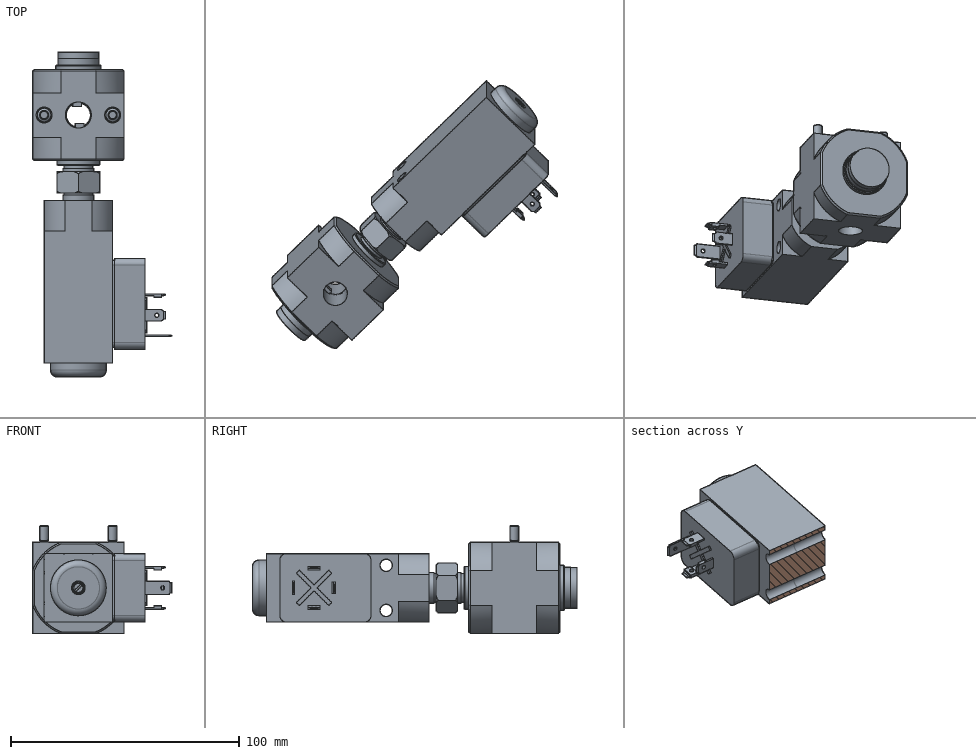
import cadquery as cq
import math


BLOCK_SIZE = 40.0
BLOCK_CORNER_DIA = 42.9
BLOCK_CORNER_LENGTH = 10.3
BLOCK_CHAMFER = 0.7
UPPER_BORE_DIA = 11.4
LOWER_BORE_DIA = 10.5
BORE_LEDGE_WIDTH = 4.0
BORE_LEDGE_OFFSET = 0.5
BORE_LEDGE_GAP = 7.3
BORE_LEDGE_THICKNESS = 4.0

STUD_SPACING = 30.0
STUD_HEIGHT = 7.3
STUD_DIA = 4.0
STUD_TIP_DIA = 3.3
STUD_NECK_DIA = 2.8
STUD_NECK_HEIGHT = 0.9
STUD_CONE_TOP = 0.4
STUD_FOOT_DIA = 6.0
STUD_FOOT_DEPTH = 2.0
STUD_SEAT_MOUTH_DIA = 7.0

PLUG_FLANGE_DIA = 20.0
PLUG_FLANGE_LENGTH = 2.0
PLUG_BODY_DIA = 18.1
PLUG_BODY_LENGTH = 2.7
PLUG_TIP_DIA = 18.0
PLUG_TIP_LENGTH = 2.8
FLANGE_CHAMFER = 0.4

COLLAR_DIA = 19.0
COLLAR_LENGTH = 2.1
THREAD_DIA = 13.5
GROOVE_DIA = 12.7
REAR_GROOVE_LENGTH = 1.3
REAR_THREAD_LENGTH = 1.4
HEX_SIDES = 6
HEX_WIDTH = 19.0
HEX_LENGTH = 9.4
HEX_CHAMFER = 0.9
FRONT_GROOVE_LENGTH = 0.9
FRONT_THREAD_LENGTH = 2.3

COIL_WIDTH = 30.0
COIL_LENGTH = 71.4
COIL_CORNER_DIA = 32.3
COIL_CORNER_LENGTH = 13.4
COIL_HOLE_DIA = 5.3
COIL_HOLE_SPACING = 19.8
COIL_HOLE_SETBACK = 18.8

CONNECTOR_LENGTH = 40.0
CONNECTOR_DEPTH = 13.4
CONNECTOR_RADIUS = 3.0
CONNECTOR_SETBACK = 45.5
NECK_DEPTH = 0.9
NECK_INSET = 0.9

CONTACT_SETBACK = 50.5
CONTACT_RADIUS = 9.0
BLADE_THICKNESS = 0.9
BLADE_HOLE_DIA = 1.7
BLADE_END_THICKNESS = 0.3
BLADE_BEVEL_LENGTH = 0.9
PIN_BLADE_WIDTH = 5.1
PIN_BLADE_TIP_WIDTH = 3.4
PIN_BLADE_LENGTH = 9.0
PIN_BLADE_SHOULDER = 7.3
PIN_BLADE_HOLE = 5.1
PAD_LENGTH = 3.4
PAD_THICKNESS = 0.7
EARTH_BLADE_WIDTH = 6.0
EARTH_BLADE_TIP_WIDTH = 4.5
EARTH_BLADE_LENGTH = 11.7
EARTH_BLADE_SHOULDER = 10.5
EARTH_BLADE_HOLE = 7.7
RIB_LENGTH = 20.1
RIB_WIDTH = 1.9
RIB_HEIGHT = 0.7

KNOB_DIA = 24.5
KNOB_LENGTH = 6.1
KNOB_RADIUS = 3.0
KNOB_HOLE_MOUTH_DIA = 6.0
KNOB_HOLE_DIA = 5.0
KNOB_HOLE_DEPTH = 1.4
KNOB_PIN_DIA = 4.0
SLOT_WIDTH = 0.9
SLOT_DEPTH = 0.7
SLOT_ANGLE = 45

BLOCK_HALF = BLOCK_SIZE / 2
STUD_FLARE_DEPTH = (STUD_SEAT_MOUTH_DIA - STUD_FOOT_DIA) / 2
COUPLING_LENGTH = (COLLAR_LENGTH + REAR_GROOVE_LENGTH + REAR_THREAD_LENGTH
                   + HEX_LENGTH + FRONT_GROOVE_LENGTH + FRONT_THREAD_LENGTH)
COIL_REAR = -BLOCK_HALF - COUPLING_LENGTH
COIL_FRONT = COIL_REAR - COIL_LENGTH
CONNECTOR_FACE = COIL_WIDTH / 2 + NECK_DEPTH + CONNECTOR_DEPTH
CONTACT_Y = COIL_REAR - CONTACT_SETBACK


def section(y):
    """Workplane across the main axis at y; extrusions from it run toward -Y."""
    return cq.Workplane("XZ", origin=(0, y, 0))


def cylinder(y, diameter, length):
    return section(y).circle(diameter / 2).extrude(length)


def corner_cutter(y, width, diameter, length):
    """What lies outside a round of the given diameter over a length from y toward -Y."""
    square = section(y).rect(width, width).extrude(length)
    return square.cut(cylinder(y, diameter, length))


def make_bore():
    """Vertical through bore, wider above its middle, less a ledge on its +Y and -Y walls."""
    middle = cq.Workplane("XY")
    bore = (
        middle.circle(UPPER_BORE_DIA / 2).extrude(BLOCK_HALF)
        .union(middle.circle(LOWER_BORE_DIA / 2).extrude(-BLOCK_HALF))
    )
    for side in (-1, 1):
        ledge = (
            middle
            .box(BORE_LEDGE_WIDTH, UPPER_BORE_DIA, BORE_LEDGE_THICKNESS)
            .translate((-side * BORE_LEDGE_OFFSET, side * (BORE_LEDGE_GAP + UPPER_BORE_DIA) / 2, 0))
        )
        bore = bore.cut(ledge)
    return bore


def make_block():
    block = cq.Workplane("XY").box(BLOCK_SIZE, BLOCK_SIZE, BLOCK_SIZE)
    for rear in (BLOCK_HALF, BLOCK_CORNER_LENGTH - BLOCK_HALF):
        block = block.cut(corner_cutter(rear, BLOCK_SIZE, BLOCK_CORNER_DIA, BLOCK_CORNER_LENGTH))
    block = block.faces("<Y or >Y").chamfer(BLOCK_CHAMFER)
    for side in (-1, 1):
        block = block.cut(make_stud_seat().translate((side * STUD_SPACING / 2, 0, BLOCK_HALF)))
    return block.cut(make_bore())


def make_stud_seat():
    """Cutter for a stud's foot with a flared mouth; the top of the block is at z = 0."""
    seat = cq.Workplane("XY").circle(STUD_FOOT_DIA / 2).extrude(-STUD_FOOT_DEPTH)
    flare = cq.Solid.makeCone(STUD_SEAT_MOUTH_DIA / 2, STUD_FOOT_DIA / 2, STUD_FLARE_DEPTH,
                              dir=(0, 0, -1))
    return seat.union(cq.Workplane(flare))


def make_stud(x):
    """Stud with a coned foot filling its seat up to the flare; turned about the Z axis."""
    tip_chamfer = (STUD_DIA - STUD_TIP_DIA) / 2
    return (
        cq.Workplane("XZ")
        .moveTo(0, -STUD_FOOT_DEPTH)
        .lineTo(STUD_FOOT_DIA / 2, -STUD_FOOT_DEPTH)
        .lineTo(STUD_FOOT_DIA / 2, -STUD_FLARE_DEPTH)
        .lineTo(STUD_NECK_DIA / 2, STUD_CONE_TOP)
        .lineTo(STUD_NECK_DIA / 2, STUD_NECK_HEIGHT)
        .lineTo(STUD_DIA / 2, STUD_NECK_HEIGHT)
        .lineTo(STUD_DIA / 2, STUD_HEIGHT - tip_chamfer)
        .lineTo(STUD_TIP_DIA / 2, STUD_HEIGHT)
        .lineTo(0, STUD_HEIGHT)
        .close()
        .revolve(360, (0, 0, 0), (0, 1, 0))
        .translate((x, 0, BLOCK_HALF))
    )


def make_plug():
    flange_end = BLOCK_HALF + PLUG_FLANGE_LENGTH
    body_end = flange_end + PLUG_BODY_LENGTH
    flange = cylinder(flange_end, PLUG_FLANGE_DIA, PLUG_FLANGE_LENGTH)
    flange = flange.faces(">Y").chamfer(FLANGE_CHAMFER)
    body = cylinder(body_end, PLUG_BODY_DIA, PLUG_BODY_LENGTH)
    tip = cylinder(body_end + PLUG_TIP_LENGTH, PLUG_TIP_DIA, PLUG_TIP_LENGTH)
    return flange.union(body).union(tip)


def make_hex(y):
    """Hexagon with corners at +Z and -Z, its corners turned down by a cone at both ends."""
    corner_dia = HEX_WIDTH / math.cos(math.pi / HEX_SIDES)
    hexagon = (
        section(y)
        .polygon(HEX_SIDES, corner_dia)
        .extrude(HEX_LENGTH)
        .rotate((0, 0, 0), (0, 1, 0), 90)
    )
    envelope = cylinder(y, corner_dia, HEX_LENGTH).faces("<Y or >Y").chamfer(HEX_CHAMFER)
    return hexagon.intersect(envelope)


def make_coupling():
    y = -BLOCK_HALF
    coupling = cylinder(y, COLLAR_DIA, COLLAR_LENGTH).faces("<Y").chamfer(FLANGE_CHAMFER)
    y -= COLLAR_LENGTH
    coupling = coupling.union(cylinder(y, GROOVE_DIA, REAR_GROOVE_LENGTH))
    y -= REAR_GROOVE_LENGTH
    coupling = coupling.union(cylinder(y, THREAD_DIA, REAR_THREAD_LENGTH))
    y -= REAR_THREAD_LENGTH
    coupling = coupling.union(make_hex(y))
    y -= HEX_LENGTH
    coupling = coupling.union(cylinder(y, GROOVE_DIA, FRONT_GROOVE_LENGTH))
    y -= FRONT_GROOVE_LENGTH
    return coupling.union(cylinder(y, THREAD_DIA, FRONT_THREAD_LENGTH))


def make_blade(width, tip_width, shoulder, length):
    """Flat contact blade along +X, in the XY plane, narrowed and then bevelled thin at the tip."""
    bevel_start = length - BLADE_BEVEL_LENGTH
    outline = [
        (0, -width / 2),
        (shoulder, -width / 2),
        (bevel_start, -tip_width / 2),
        (length, -tip_width / 2),
        (length, tip_width / 2),
        (bevel_start, tip_width / 2),
        (shoulder, width / 2),
        (0, width / 2),
    ]
    edge_profile = [
        (0, -BLADE_THICKNESS / 2),
        (bevel_start, -BLADE_THICKNESS / 2),
        (length, -BLADE_END_THICKNESS / 2),
        (length, BLADE_END_THICKNESS / 2),
        (bevel_start, BLADE_THICKNESS / 2),
        (0, BLADE_THICKNESS / 2),
    ]
    blank = cq.Workplane("XY").polyline(outline).close().extrude(BLADE_THICKNESS, both=True)
    thinned = cq.Workplane("XZ").polyline(edge_profile).close().extrude(width, both=True)
    return blank.intersect(thinned)


def blade_hole(distance):
    """Cutter for the hole through a blade and its pad, at a distance from the connector face."""
    return (
        cq.Workplane("XY", origin=(distance, 0, 0))
        .circle(BLADE_HOLE_DIA / 2)
        .extrude(BLADE_THICKNESS + PAD_THICKNESS, both=True)
    )


def make_pin_blade():
    """Blade with a thicker pad on its inner (-Z) side, just before the narrowed tip."""
    blade = make_blade(PIN_BLADE_WIDTH, PIN_BLADE_TIP_WIDTH, PIN_BLADE_SHOULDER, PIN_BLADE_LENGTH)
    pad_centre = PIN_BLADE_SHOULDER - PAD_LENGTH / 2
    pad = (
        cq.Workplane("XY")
        .box(PAD_LENGTH, PIN_BLADE_WIDTH, PAD_THICKNESS)
        .translate((pad_centre, 0, -(BLADE_THICKNESS + PAD_THICKNESS) / 2))
    )
    return blade.union(pad).cut(blade_hole(PIN_BLADE_HOLE))


def make_earth_blade():
    blade = make_blade(EARTH_BLADE_WIDTH, EARTH_BLADE_TIP_WIDTH,
                       EARTH_BLADE_SHOULDER, EARTH_BLADE_LENGTH)
    return blade.cut(blade_hole(EARTH_BLADE_HOLE))


def make_contacts():
    """Three pin blades and the earth blade around a raised cross; the +X face is at x = 0."""
    blades = {
        -90: make_pin_blade(),
        0: make_pin_blade(),
        90: make_earth_blade(),
        180: make_pin_blade(),
    }
    contacts = cq.Workplane("XY")
    for angle, blade in blades.items():
        placed = blade.translate((0, 0, CONTACT_RADIUS)).rotate((0, 0, 0), (1, 0, 0), angle)
        contacts = contacts.add(placed)
    for angle in (-45, 45):
        rib = cq.Workplane("YZ").rect(RIB_LENGTH, RIB_WIDTH).extrude(RIB_HEIGHT)
        contacts = contacts.add(rib.rotate((0, 0, 0), (1, 0, 0), angle))
    return contacts.combine()


def rounded_plate(x, length, height, depth, radius):
    return (
        cq.Workplane("YZ", origin=(x, COIL_REAR - CONNECTOR_SETBACK, 0))
        .rect(length, height)
        .extrude(depth)
        .edges("|X")
        .fillet(radius)
    )


def make_coil():
    """Coil housing with the connector moulded on its +X side."""
    coil = section(COIL_REAR).rect(COIL_WIDTH, COIL_WIDTH).extrude(COIL_LENGTH)
    coil = coil.cut(corner_cutter(COIL_REAR, COIL_WIDTH, COIL_CORNER_DIA, COIL_CORNER_LENGTH))
    holes = (
        cq.Workplane("YZ", origin=(0, COIL_REAR - COIL_HOLE_SETBACK, 0))
        .rarray(1.4, COIL_HOLE_SPACING, 1, 2)
        .circle(COIL_HOLE_DIA / 2)
        .extrude(COIL_WIDTH, both=True)
    )
    neck = rounded_plate(COIL_WIDTH / 2, CONNECTOR_LENGTH - 2 * NECK_INSET,
                         COIL_WIDTH - 2 * NECK_INSET, NECK_DEPTH, CONNECTOR_RADIUS - NECK_INSET)
    connector = rounded_plate(COIL_WIDTH / 2 + NECK_DEPTH, CONNECTOR_LENGTH, COIL_WIDTH,
                              CONNECTOR_DEPTH, CONNECTOR_RADIUS)
    contacts = make_contacts().translate((CONNECTOR_FACE, CONTACT_Y, 0))
    return coil.cut(holes).union(neck).union(connector).union(contacts)


def make_knob():
    """Rounded knob with a slotted pin standing in a recess in the middle of its front face."""
    knob = cylinder(COIL_FRONT, KNOB_DIA, KNOB_LENGTH).faces("<Y").edges().fillet(KNOB_RADIUS)
    face = COIL_FRONT - KNOB_LENGTH
    mouth = cq.Solid.makeCone(KNOB_HOLE_MOUTH_DIA / 2, KNOB_HOLE_DIA / 2,
                              (KNOB_HOLE_MOUTH_DIA - KNOB_HOLE_DIA) / 2,
                              pnt=(0, face, 0), dir=(0, 1, 0))
    recess = (
        section(face)
        .circle(KNOB_HOLE_DIA / 2)
        .extrude(-KNOB_HOLE_DEPTH)
        .union(cq.Workplane(mouth))
        .cut(section(face).circle(KNOB_PIN_DIA / 2).extrude(-KNOB_HOLE_DEPTH))
    )
    slot = (
        section(face)
        .rect(KNOB_PIN_DIA, SLOT_WIDTH)
        .extrude(-SLOT_DEPTH)
        .rotate((0, 0, 0), (0, 1, 0), -SLOT_ANGLE)
    )
    return knob.cut(recess).cut(slot)


block = make_block()
plug = make_plug()
coupling = make_coupling()
coil = make_coil()
knob = make_knob()
studs = [make_stud(side * STUD_SPACING / 2) for side in (-1, 1)]

result = cq.Compound.makeCompound([
    block.val(),
    plug.val(),
    coupling.val(),
    coil.val(),
    knob.val(),
    *[stud.val() for stud in studs],
])